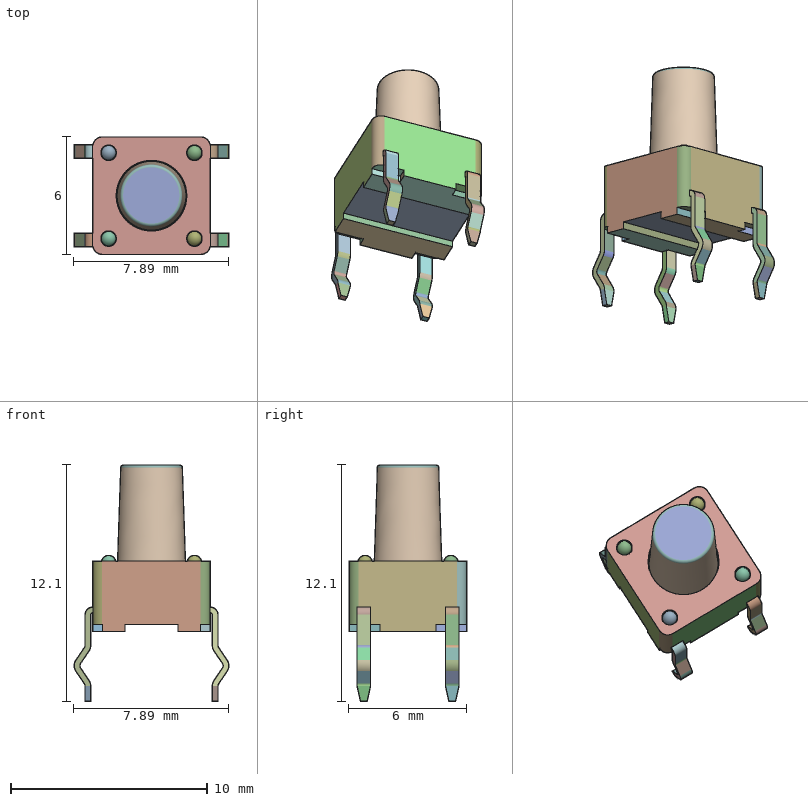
import cadquery as cq
import math


TOTAL_HEIGHT = 12.05

HOUSING_SIDE = 6.0
HOUSING_BOTTOM = 3.55
HOUSING_TOP = 7.15
HOUSING_HEIGHT = HOUSING_TOP - HOUSING_BOTTOM
CORNER_DIAMETER = 1.0
CORNER_RADIUS = CORNER_DIAMETER / 2

RELIEF_HEIGHT = 0.36
CHANNEL_WIDTH = 2.7
CORNER_CUT_LENGTH = 1.57

RIVET_SPACING = 4.37
RIVET_DIAMETER = 0.75
RIVET_HOLE_DIAMETER = 0.8
RIVET_HOLE_DEPTH = 0.15
RIVET_RISE = 0.3

RECESS_DIAMETER = 3.6
RECESS_DEPTH = 0.51
BUTTON_BASE_DIAMETER = 3.51
BUTTON_TOP_DIAMETER = 3.15
BUTTON_EDGE_RADIUS = 0.15
BUTTON_BASE = HOUSING_TOP - RECESS_DEPTH
BUTTON_HEIGHT = TOTAL_HEIGHT - BUTTON_BASE

TERMINAL_SPAN = 7.89
TERMINAL_PITCH = 4.51
STRIP_THICKNESS = 0.3
STRIP_WIDTH = 0.7
TIP_WIDTH = 0.35
TIP_LENGTH = 0.78
SHOULDER_TOP = 4.81
SHOULDER_OUTER_RADIUS = 0.4
KNEE_OUTER_RADIUS = 0.51
KNEE_HEIGHT = 1.82
KNEE_BEND_RISE = 0.93
KNEE_OFFSET = 0.63
TERMINAL_ROOT = 0.24


def make_housing_block():
    block = (
        cq.Workplane("XY", origin=(0, 0, HOUSING_BOTTOM))
        .rect(HOUSING_SIDE, HOUSING_SIDE)
        .extrude(HOUSING_HEIGHT)
        .edges("|Z")
        .fillet(CORNER_RADIUS)
    )
    underside = cq.Workplane("XY", origin=(0, 0, HOUSING_BOTTOM))
    channel = underside.rect(CHANNEL_WIDTH, HOUSING_SIDE).extrude(RELIEF_HEIGHT)
    corner_cuts = (
        underside
        .rect(HOUSING_SIDE, HOUSING_SIDE, forConstruction=True)
        .vertices()
        .rect(2 * CORNER_RADIUS, 2 * CORNER_CUT_LENGTH)
        .extrude(RELIEF_HEIGHT)
    )
    recess = (
        cq.Workplane("XY", origin=(0, 0, BUTTON_BASE))
        .circle(RECESS_DIAMETER / 2)
        .extrude(RECESS_DEPTH)
    )
    return block.cut(channel).cut(corner_cuts).cut(recess)


def rivet_places(height):
    return (
        cq.Workplane("XY", origin=(0, 0, height))
        .rect(RIVET_SPACING, RIVET_SPACING, forConstruction=True)
        .vertices()
    )


def make_rivet_holes():
    floor = HOUSING_TOP - RIVET_HOLE_DEPTH
    return rivet_places(floor).circle(RIVET_HOLE_DIAMETER / 2).extrude(RIVET_HOLE_DEPTH)


def make_rivets():
    radius = RIVET_DIAMETER / 2
    dome_centre = HOUSING_TOP + RIVET_RISE - radius
    floor = HOUSING_TOP - RIVET_HOLE_DEPTH
    posts = rivet_places(floor).circle(radius).extrude(dome_centre - floor)
    return posts.union(rivet_places(dome_centre).sphere(radius))


def rounded_path(corners, radii):
    """Path in the XZ plane through the corners, each inner corner rounded to its radius."""
    points = [cq.Vector(x, z) for x, z in corners]
    path = cq.Workplane("XZ").moveTo(points[0].x, points[0].y)
    for before, corner, after, radius in zip(points, points[1:], points[2:], radii):
        back = (before - corner).normalized()
        ahead = (after - corner).normalized()
        half_angle = back.getAngle(ahead) / 2
        setback = radius / math.tan(half_angle)
        to_arc = radius / math.sin(half_angle) - radius
        start = corner + back * setback
        middle = corner + (back + ahead).normalized() * to_arc
        end = corner + ahead * setback
        path = path.lineTo(start.x, start.y).threePointArc((middle.x, middle.y), (end.x, end.y))
    return path.lineTo(points[-1].x, points[-1].y)


def make_terminal():
    """Terminal on the +X side, centred on Y = 0."""
    half_thickness = STRIP_THICKNESS / 2
    shoulder_radius = SHOULDER_OUTER_RADIUS - half_thickness
    knee_radius = KNEE_OUTER_RADIUS - half_thickness
    knee_half_turn = math.atan2(KNEE_OFFSET, KNEE_BEND_RISE)
    corner_loss = knee_radius * (1 / math.cos(knee_half_turn) - 1)

    knee_x = TERMINAL_SPAN / 2 - half_thickness + corner_loss
    leg_x = knee_x - KNEE_OFFSET
    root_x = HOUSING_SIDE / 2 - TERMINAL_ROOT
    shoulder_z = SHOULDER_TOP - half_thickness
    corners = [
        (root_x, shoulder_z),
        (leg_x, shoulder_z),
        (leg_x, KNEE_HEIGHT + KNEE_BEND_RISE),
        (knee_x, KNEE_HEIGHT),
        (leg_x, KNEE_HEIGHT - KNEE_BEND_RISE),
        (leg_x, 0),
    ]
    path = rounded_path(corners, [shoulder_radius, knee_radius, knee_radius, knee_radius])
    strip = (
        cq.Workplane("YZ", origin=(root_x, 0, shoulder_z))
        .rect(STRIP_WIDTH, STRIP_THICKNESS)
        .sweep(path)
    )

    blade = (
        cq.Workplane("YZ")
        .polyline([
            (-TIP_WIDTH / 2, 0),
            (TIP_WIDTH / 2, 0),
            (STRIP_WIDTH / 2, TIP_LENGTH),
            (STRIP_WIDTH / 2, SHOULDER_TOP),
            (-STRIP_WIDTH / 2, SHOULDER_TOP),
            (-STRIP_WIDTH / 2, TIP_LENGTH),
        ])
        .close()
        .extrude(TERMINAL_SPAN / 2)
    )
    return strip.intersect(blade)


def make_housing():
    housing = make_housing_block().cut(make_rivet_holes()).union(make_rivets())
    right_terminal = make_terminal()
    left_terminal = right_terminal.mirror("YZ")
    for y in (-TERMINAL_PITCH / 2, TERMINAL_PITCH / 2):
        for terminal in (right_terminal, left_terminal):
            housing = housing.union(terminal.translate((0, y, 0)))
    return housing


def make_button():
    return (
        cq.Workplane("XY", origin=(0, 0, BUTTON_BASE))
        .circle(BUTTON_BASE_DIAMETER / 2)
        .workplane(offset=BUTTON_HEIGHT)
        .circle(BUTTON_TOP_DIAMETER / 2)
        .loft(ruled=True)
        .faces(">Z")
        .edges()
        .fillet(BUTTON_EDGE_RADIUS)
    )


housing = make_housing()
button = make_button()

result = cq.Compound.makeCompound([housing.solids().val(), button.solids().val()])